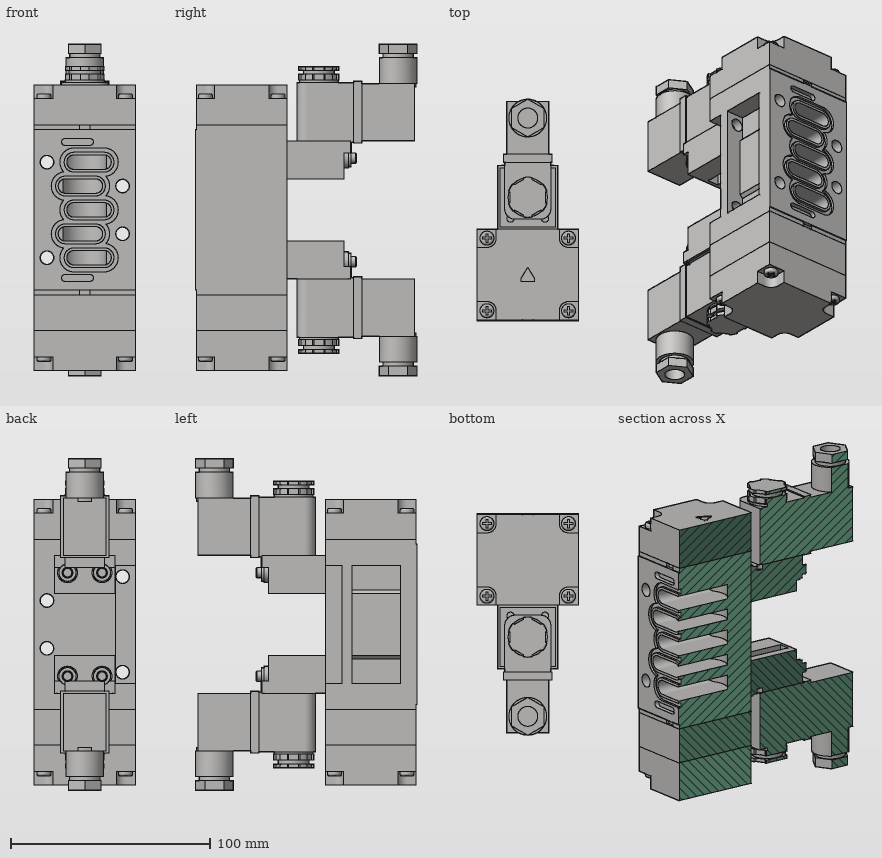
import cadquery as cq
import math


WIDTH = 51.0
DEPTH = 45.5
BODY_HALF_HEIGHT = 42.6
SPACER_HEIGHT = 18.0
TOP_CAP_HEIGHT = 20.1
BOTTOM_CAP_HEIGHT = 20.0

PLATE_RISE = 0.5
PLATE_HALF_HEIGHT = 40.3
NOTCH_WIDTH = 5.2
NOTCH_DEPTH = 1.3

PORT_PITCH = 12.0
PORT_COUNT = 5
PORT_OFFSET = 2.2
PORT_STRAIGHT = 15.0
PORT_RADIUS = 3.7
SEAL_INNER_RADIUS = 5.0
SEAL_OUTER_RADIUS = 7.2
SEAL_DEPTH = 1.3
BORE_RADIUS = 11.0
BORE_Y = DEPTH / 2

KEY_X = -3.7
KEY_Z = 34.1
KEY_LENGTH = 16.0
KEY_HEIGHT = 3.5
KEY_DEPTH = 2.5

MOUNT_X = 19.0
MOUNT_RADIUS = 3.3

SIDE_HALF_HEIGHT = 29.6
SIDE_DEPTH = 10.2
SIDE_FRONT = 7.8
SIDE_BACK = 32.1
REAR_RECESS_FRONT = 37.3
ISLAND_HALF_HEIGHT = 17.3
ISLAND_RISE = 1.7

SCREW_INSET_X = 5.0
SCREW_INSET_Y = 4.5
CORNER_RADIUS = 4.7
CORNER_DEPTH = 6.8
HEAD_RADIUS = 3.5
HEAD_HEIGHT = 2.3
HEAD_ROUND = 1.0
CROSS_LENGTH = 4.3
CROSS_WIDTH = 1.0
CROSS_DEPTH = 0.8
ARROW_HALF_WIDTH = 3.3
ARROW_BASE_HEIGHT = 1.7
ARROW_LENGTH = 7.0
ARROW_DEPTH = 0.5

BASE_WIDTH = 30.1
BASE_BOTTOM = 15.5
BASE_TOP = 34.6
BASE_BACK = 74.1
LEDGE_BACK = 77.5
LEDGE_BOTTOM = 28.5
RIM = 1.2
RIM_HEIGHT = 0.7
PANEL_WIDTH = 20.0
PANEL_RISE = 0.5
BASE_POCKET_WIDTH = 6.3
BASE_POCKET_WALL = 2.0
BASE_POCKET_DEPTH = 13.3
SCREW_X = 8.7
SCREW_Z = 26.0
SCREW_STEPS = [(5.0, 76.3), (4.3, 77.6), (2.7, 80.3)]
SCREW_CHAMFER = 0.5
BASE_HOLE_X = SCREW_X
BASE_HOLE_Y = 50.8
BASE_HOLE_RADIUS = 1.8
BASE_HOLE_DEPTH = 2.5

COIL_WIDTH = 23.1
COIL_FRONT = 50.5
COIL_ROUND = 5.2
COIL_BOTTOM = BASE_TOP - RIM_HEIGHT
COIL_TOP = 64.0
FLANGE_FRONT = 79.0
FLANGE_BACK = 83.1
FLANGE_WIDTH = 24.5
FLANGE_BOTTOM = 33.5
FLANGE_TOP = 64.6
SOCKET_WIDTH = 21.1
SOCKET_BOTTOM = 34.6
SOCKET_TOP = 63.5
SOCKET_BACK = 109.5

NUT_Y = 61.5
NUT_RADIUS = 10.2
NUT_SEAT_RADIUS = 9.8
NUT_NECK_RADIUS = 7.8
NUT_DISC_LEVELS = [(65.1, 68.1), (70.1, 72.0)]
NUT_NOTCHES = 6
NUT_NOTCH_FLOOR = 5.0
NUT_NOTCH_MOUTH = 7.0
NUT_NOTCH_APOTHEM = 8.8

GLAND_Y = 101.2
GLAND_RADIUS = 9.5
GLAND_ROOT_RADIUS = 9.0
GLAND_ROOT_Z = 61.8
GLAND_TOP = 76.5
COLLAR_RADIUS = 7.7
HEX_BOTTOM = 78.5
HEX_TOP = 83.2
CABLE_RADIUS = 5.0
CABLE_DEPTH = 13.3


def block(x, y, z):
    """Box between (low, high) pairs along each axis."""
    size = (x[1] - x[0], y[1] - y[0], z[1] - z[0])
    return cq.Workplane("XY").box(*size, centered=False).translate((x[0], y[0], z[0]))


def centred(width, y, z):
    """Box of the given width, centred on X = 0."""
    return block((-width / 2, width / 2), y, z)


def post(radius, x, y, z):
    """Cylinder along Z between the (low, high) pair z."""
    return cq.Workplane("XY").circle(radius).extrude(z[1] - z[0]).translate((x, y, z[0]))


def pin(radius, x, z, y):
    """Cylinder along Y between the (low, high) pair y."""
    return cq.Workplane("XZ").circle(radius).extrude(y[0] - y[1]).translate((x, y[0], z))


def oblong(x, z, straight, radius, y):
    """Round-ended bar along Y, long in X."""
    bar = cq.Workplane("XZ").slot2D(straight + 2 * radius, 2 * radius).extrude(y[0] - y[1])
    return bar.translate((x, y[0], z))


def port_places():
    """Port centres, alternating to either side of X = 0."""
    middle = (PORT_COUNT - 1) / 2
    return [((-1) ** i * PORT_OFFSET, (i - middle) * PORT_PITCH) for i in range(PORT_COUNT)]


def side_recesses():
    """The two recesses in the -X side, less the bevelled island in the front one."""
    wall = -WIDTH / 2
    floor = wall + SIDE_DEPTH
    height = (-SIDE_HALF_HEIGHT, SIDE_HALF_HEIGHT)
    top_half = ISLAND_HALF_HEIGHT - ISLAND_RISE
    island = (
        cq.Workplane("XZ")
        .polyline([
            (floor, -ISLAND_HALF_HEIGHT),
            (floor - ISLAND_RISE, -top_half),
            (floor - ISLAND_RISE, top_half),
            (floor, ISLAND_HALF_HEIGHT),
        ])
        .close()
        .extrude(SIDE_FRONT - SIDE_BACK)
        .translate((0, SIDE_FRONT, 0))
    )
    front = block((wall, floor), (SIDE_FRONT, SIDE_BACK), height).cut(island)
    rear = block((wall, floor), (REAR_RECESS_FRONT, DEPTH), height)
    return front.union(rear)


def seal_groove():
    """One groove round all the ports, leaving a land at each."""
    span = (-PLATE_RISE, SEAL_DEPTH - PLATE_RISE)
    groove = None
    for x, z in port_places():
        ring = oblong(x, z, PORT_STRAIGHT, SEAL_OUTER_RADIUS, span)
        groove = ring if groove is None else groove.union(ring)
    for x, z in port_places():
        groove = groove.cut(oblong(x, z, PORT_STRAIGHT, SEAL_INNER_RADIUS, span))
    return groove


def port(x, z):
    """Oblong port, with the bore wall as its floor wherever the port reaches the bore."""
    mouth = oblong(x, z, PORT_STRAIGHT, PORT_RADIUS, (-PLATE_RISE, BORE_Y))
    reach = oblong(x, z, PORT_STRAIGHT, PORT_RADIUS, (0, DEPTH))
    bore = post(BORE_RADIUS, 0, BORE_Y, (z - PORT_RADIUS, z + PORT_RADIUS))
    return mouth.union(reach.intersect(bore))


def make_valve_body():
    body = centred(WIDTH, (0, DEPTH), (-BODY_HALF_HEIGHT, BODY_HALF_HEIGHT))
    body = body.union(centred(WIDTH, (-PLATE_RISE, 0), (-PLATE_HALF_HEIGHT, PLATE_HALF_HEIGHT)))
    body = body.cut(side_recesses()).cut(seal_groove())
    for x, z in port_places():
        body = body.cut(port(x, z))
        if z != 0:
            mount_x = -math.copysign(MOUNT_X, x)
            body = body.cut(pin(MOUNT_RADIUS, mount_x, z, (-PLATE_RISE, DEPTH)))
    for side in (-1, 1):
        key = oblong(KEY_X, side * KEY_Z, KEY_LENGTH - KEY_HEIGHT, KEY_HEIGHT / 2,
                     (-PLATE_RISE, KEY_DEPTH - PLATE_RISE))
        notch_z = sorted((side * PLATE_HALF_HEIGHT, side * BODY_HALF_HEIGHT))
        body = body.cut(key).cut(centred(NOTCH_WIDTH, (0, NOTCH_DEPTH), notch_z))
    return body


def make_spacer():
    return centred(WIDTH, (0, DEPTH), (-BODY_HALF_HEIGHT - SPACER_HEIGHT, -BODY_HALF_HEIGHT))


def corner_pocket(floor, top):
    """Pocket over a corner screw at the origin, open toward -X and -Y."""
    reach_x = (-SCREW_INSET_X, CORNER_RADIUS)
    reach_y = (-SCREW_INSET_Y, CORNER_RADIUS)
    return block(reach_x, reach_y, (floor, top)).edges("|Z and >X and >Y").fillet(CORNER_RADIUS)


def screw_head(floor):
    """Round-edged head with a cross recess, standing at the origin."""
    top = floor + HEAD_HEIGHT
    head = post(HEAD_RADIUS, 0, 0, (floor, top)).faces(">Z").edges().fillet(HEAD_ROUND)
    for length, width in ((CROSS_LENGTH, CROSS_WIDTH), (CROSS_WIDTH, CROSS_LENGTH)):
        arm = centred(length, (-width / 2, width / 2), (top - CROSS_DEPTH, top))
        head = head.cut(arm)
    return head


def make_end_cap(height):
    """Cap standing on Z = 0, with a screw in each top corner."""
    cap = centred(WIDTH, (0, DEPTH), (0, height))
    floor = height - CORNER_DEPTH
    pocket = corner_pocket(floor, height)
    head = screw_head(floor)
    centre = (0, DEPTH / 2, 0)
    corner = (SCREW_INSET_X - WIDTH / 2, SCREW_INSET_Y - DEPTH / 2, 0)
    for flip_x in (False, True):
        for flip_y in (False, True):
            void = pocket.translate(corner)
            screw = head.translate(corner)
            if flip_x:
                void = void.mirror("YZ")
                screw = screw.mirror("YZ")
            if flip_y:
                void = void.mirror("XZ")
                screw = screw.mirror("XZ")
            cap = cap.cut(void.translate(centre)).union(screw.translate(centre))
    return cap


def arrow(top):
    """Arrow-shaped engraving, pointing to +Y."""
    foot = (DEPTH - ARROW_LENGTH) / 2
    return (
        cq.Workplane("XY")
        .polyline([
            (-ARROW_HALF_WIDTH, foot),
            (ARROW_HALF_WIDTH, foot),
            (ARROW_HALF_WIDTH, foot + ARROW_BASE_HEIGHT),
            (0, foot + ARROW_LENGTH),
            (-ARROW_HALF_WIDTH, foot + ARROW_BASE_HEIGHT),
        ])
        .close()
        .extrude(-ARROW_DEPTH)
        .translate((0, 0, top))
    )


def make_top_cap():
    cap = make_end_cap(TOP_CAP_HEIGHT).cut(arrow(TOP_CAP_HEIGHT))
    return cap.translate((0, 0, BODY_HALF_HEIGHT))


def make_bottom_cap():
    cap = make_end_cap(BOTTOM_CAP_HEIGHT).mirror("XY")
    return cap.translate((0, 0, -BODY_HALF_HEIGHT - SPACER_HEIGHT))


def make_pilot_base():
    base = centred(BASE_WIDTH, (DEPTH, BASE_BACK), (BASE_BOTTOM, BASE_TOP))
    base = base.union(centred(BASE_WIDTH, (BASE_BACK, LEDGE_BACK), (LEDGE_BOTTOM, BASE_TOP)))
    base = base.union(
        centred(PANEL_WIDTH, (LEDGE_BACK, LEDGE_BACK + PANEL_RISE), (LEDGE_BOTTOM, COIL_BOTTOM)))
    seat_z = (COIL_BOTTOM, BASE_TOP)
    base = base.cut(centred(BASE_WIDTH - 2 * RIM, (DEPTH + RIM, LEDGE_BACK - RIM), seat_z))
    base = base.cut(centred(COIL_WIDTH, (LEDGE_BACK - RIM, LEDGE_BACK), seat_z))
    pocket_y = (DEPTH + BASE_POCKET_WALL, BASE_BACK - BASE_POCKET_WALL)
    pocket_z = (BASE_BOTTOM, BASE_BOTTOM + BASE_POCKET_DEPTH)
    base = base.cut(centred(BASE_POCKET_WIDTH, pocket_y, pocket_z))
    hole_z = (COIL_BOTTOM - BASE_HOLE_DEPTH, COIL_BOTTOM)
    for side in (-1, 1):
        base = base.cut(post(BASE_HOLE_RADIUS, side * BASE_HOLE_X, BASE_HOLE_Y, hole_z))
        base = base.union(stepped_screw().translate((side * SCREW_X, 0, SCREW_Z)))
    return base


def stepped_screw():
    """Screw head on two washers of falling size, under the ledge at the back of the pilot base."""
    start = BASE_BACK
    screw = None
    for radius, end in SCREW_STEPS:
        step = pin(radius, 0, 0, (start, end))
        screw = step if screw is None else screw.union(step)
        start = end
    return screw.faces(">Y").edges().chamfer(SCREW_CHAMFER)


def nut_notch(level):
    """Flat-floored notch on the +X side of a nut disc, wider at its mouth."""
    return (
        cq.Workplane("XY")
        .polyline([
            (NUT_NOTCH_APOTHEM, -NUT_NOTCH_FLOOR / 2),
            (NUT_RADIUS, -NUT_NOTCH_MOUTH / 2),
            (NUT_RADIUS, NUT_NOTCH_MOUTH / 2),
            (NUT_NOTCH_APOTHEM, NUT_NOTCH_FLOOR / 2),
        ])
        .close()
        .extrude(level[1] - level[0])
        .translate((0, 0, level[0]))
    )


def coil_nut():
    nut_top = NUT_DISC_LEVELS[-1][1]
    nut = post(NUT_NECK_RADIUS, 0, 0, (COIL_TOP, nut_top))
    nut = nut.union(post(NUT_SEAT_RADIUS, 0, 0, (COIL_TOP, NUT_DISC_LEVELS[0][0])))
    for level in NUT_DISC_LEVELS:
        disc = post(NUT_RADIUS, 0, 0, level)
        notch = nut_notch(level)
        for i in range(NUT_NOTCHES):
            disc = disc.cut(notch.rotate((0, 0, 0), (0, 0, 1), i * 360 / NUT_NOTCHES))
        nut = nut.union(disc)
    return nut.translate((0, NUT_Y, 0))


def cable_gland():
    gland = post(GLAND_ROOT_RADIUS, 0, 0, (GLAND_ROOT_Z, SOCKET_TOP))
    gland = gland.union(post(GLAND_RADIUS, 0, 0, (SOCKET_TOP, GLAND_TOP)))
    gland = gland.union(post(COLLAR_RADIUS, 0, 0, (GLAND_TOP, HEX_BOTTOM)))
    hexagon = cq.Workplane("XY").polygon(6, 2 * GLAND_RADIUS).extrude(HEX_TOP - HEX_BOTTOM)
    hexagon = hexagon.rotate((0, 0, 0), (0, 0, 1), 90).translate((0, 0, HEX_BOTTOM))
    gland = gland.union(hexagon)
    gland = gland.cut(post(CABLE_RADIUS, 0, 0, (HEX_TOP - CABLE_DEPTH, HEX_TOP)))
    return gland.translate((0, GLAND_Y, 0))


def make_coil():
    coil = centred(COIL_WIDTH, (COIL_FRONT, FLANGE_FRONT), (COIL_BOTTOM, COIL_TOP))
    coil = coil.edges("|Z and <Y").fillet(COIL_ROUND)
    coil = coil.union(centred(FLANGE_WIDTH, (FLANGE_FRONT, FLANGE_BACK), (FLANGE_BOTTOM, FLANGE_TOP)))
    coil = coil.union(centred(SOCKET_WIDTH, (FLANGE_BACK, SOCKET_BACK), (SOCKET_BOTTOM, SOCKET_TOP)))
    return coil.union(coil_nut()).union(cable_gland())


valve_body = make_valve_body()
spacer = make_spacer()
top_cap = make_top_cap()
bottom_cap = make_bottom_cap()

pilots = []
for make_part in (make_pilot_base, make_coil):
    upper = make_part()
    lower = upper.mirror("XY")
    pilots += [upper.val(), lower.val()]

result = cq.Compound.makeCompound(
    [valve_body.val(), spacer.val(), top_cap.val(), bottom_cap.val(), *pilots])